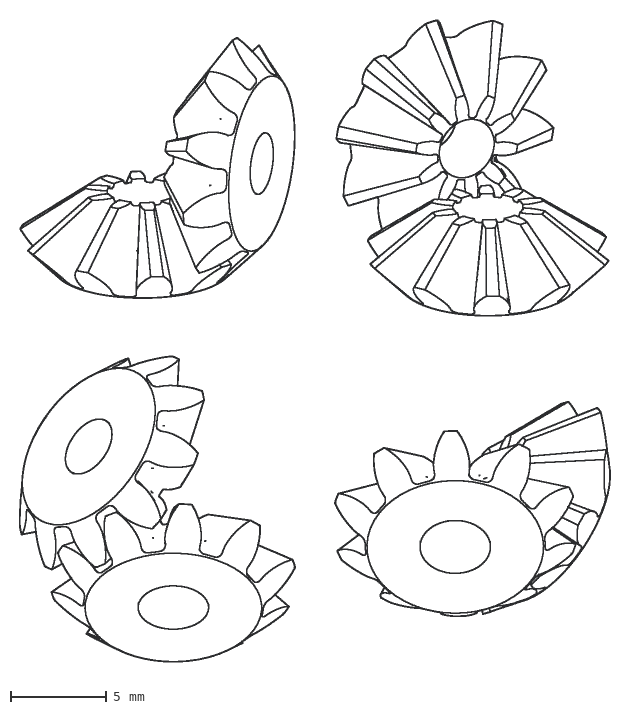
import cadquery as cq
import math

TEETH = 10
TOOTH_PITCH = 360 / TEETH
MESH_ANGLE = TOOTH_PITCH / 5

APEX_TO_BASE = 6.75
BASE_RADIUS = 4.63
TIP_RADIUS = 6.48
TOE_RADIUS = 3.02
GEAR_HEIGHT = 4.32
HEEL_HEIGHT = TIP_RADIUS - BASE_RADIUS
LOWER_BORE_RADIUS = 1.85
UPPER_BORE_RADIUS = 1.62

PITCH_ANGLE = 45
CONE_DISTANCE = (BASE_RADIUS + APEX_TO_BASE) / math.sqrt(2)
MOUTH = (2.11, 1.35)
TIP = (1.69, 0.96)
FLANK_MIDDLE = (1.03, 0.16)
FLANK_FOOT = (0.74, -0.48)
FOOT_MIDDLE = (0.67, -0.77)
ROOT = (0.32, -1.37)
ROOT_FILLET = 0.33
FILLET_START = (ROOT[0] + ROOT_FILLET, ROOT[1] + ROOT_FILLET)
FILLET_MIDDLE = (
    ROOT[0] + ROOT_FILLET * math.sqrt(0.5),
    ROOT[1] + ROOT_FILLET * (1 - math.sqrt(0.5)),
)
CUTTER_SCALES = (0.2, 1.1)


def gear_blank(bore_radius):
    """Ring with a flat base, 45 degree back cone, tip cone and flat toe face; apex at the origin."""
    half_section = [
        (bore_radius, 0),
        (BASE_RADIUS, 0),
        (TIP_RADIUS, HEEL_HEIGHT),
        (TOE_RADIUS, GEAR_HEIGHT),
        (bore_radius, GEAR_HEIGHT),
    ]
    blank = cq.Workplane("XZ").polyline(half_section).close().revolve(360, (0, 0), (0, 1))
    return blank.translate((0, 0, -APEX_TO_BASE))


def gap_profile(scale):
    """Tooth gap outline, shrunk towards the apex by the given scale."""
    def right(point):
        return (point[0] * scale, point[1] * scale)

    def left(point):
        return (-point[0] * scale, point[1] * scale)

    along_cone = scale * CONE_DISTANCE
    slope = math.radians(PITCH_ANGLE)
    pitch_point = (along_cone * math.sin(slope), 0, -along_cone * math.cos(slope))
    outward = (math.sin(slope), 0, -math.cos(slope))
    plane = cq.Plane(origin=pitch_point, xDir=(0, 1, 0), normal=outward)
    return (
        cq.Workplane(plane)
        .moveTo(*right(MOUTH))
        .lineTo(*right(TIP))
        .threePointArc(right(FLANK_MIDDLE), right(FLANK_FOOT))
        .threePointArc(right(FOOT_MIDDLE), right(FILLET_START))
        .threePointArc(right(FILLET_MIDDLE), right(ROOT))
        .lineTo(*left(ROOT))
        .threePointArc(left(FILLET_MIDDLE), left(FILLET_START))
        .threePointArc(left(FOOT_MIDDLE), left(FLANK_FOOT))
        .threePointArc(left(FLANK_MIDDLE), left(TIP))
        .lineTo(*left(MOUTH))
        .close()
        .wires()
        .val()
    )


def gap_cutter():
    """Tapered cutter for one tooth gap; all its lines run to the apex."""
    return cq.Solid.makeLoft([gap_profile(scale) for scale in CUTTER_SCALES], True)


def bevel_gear(bore_radius, first_gap_angle):
    """Gear on the Z axis, base down, with one tooth gap at the given angle from +X."""
    gear = gear_blank(bore_radius)
    cutter = gap_cutter()
    for tooth in range(TEETH):
        angle = first_gap_angle + tooth * TOOTH_PITCH
        gear = gear.cut(cq.Workplane(cutter.rotate((0, 0, 0), (0, 0, 1), angle)))
    return gear


lower_gear = bevel_gear(LOWER_BORE_RADIUS, -MESH_ANGLE)

upper_gear = bevel_gear(UPPER_BORE_RADIUS, MESH_ANGLE + TOOTH_PITCH / 2)
upper_gear = upper_gear.rotate((0, 0, 0), (0, 1, 0), -90)

result = cq.Compound.makeCompound([lower_gear.solids().val(), upper_gear.solids().val()])